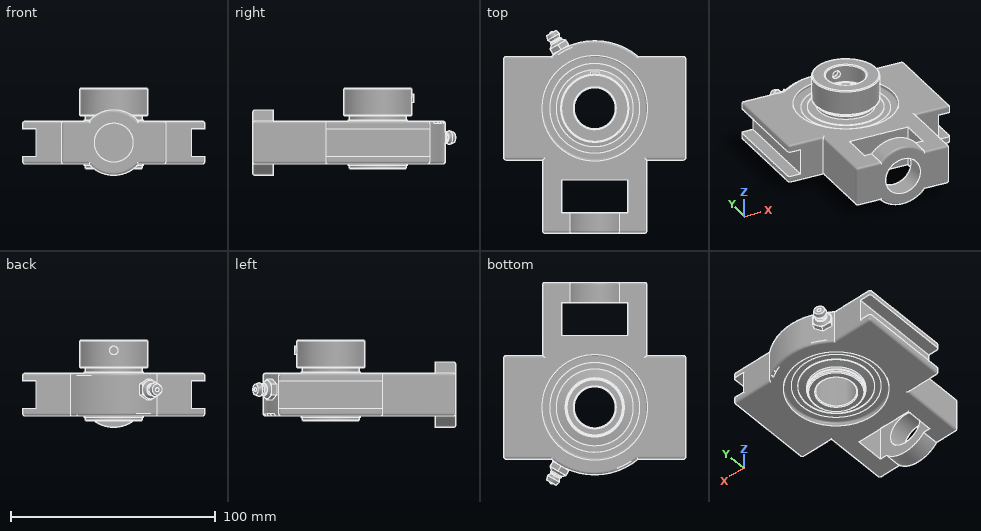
import cadquery as cq
import math


wing_width = 89.0
shank_width = 51.0
wing_depth = 50.8
plate_height = 21.0
half_height = plate_height / 2
shank_end_y = -61.1
dome_radius = 33.0
edge_radius = 1.3
groove_bottom_span = 76.0
groove_height = 13.5

boss_diameter = 32.0
boss_length = 10.1
boss_hole_diameter = 19.0
window_width = boss_diameter
window_length = 15.9

sphere_diameter = 47.0
ring_half_width = 8.5
ring_face_diameter = 42.85
ring_chamfer_height = 0.1
ring_bore = 37.6
recess_diameter = 51.6
recess_fillet = 0.9
recess_floor_z = ring_half_width - ring_chamfer_height
seat_radius = math.sqrt((sphere_diameter / 2) ** 2 - recess_floor_z ** 2)

shaft_bore = 20.0
inner_ring_diameter = 29.0
inner_ring_half_width = 11.1
neck_diameter = 28.0
neck_bottom_z = -12.8
neck_top_z = 16.9
neck_chamfer = 0.5
seal_inner_face_z = 7.4
seal_rim_z = 8.9
seal_lip_z = 9.6
collar_diameter = 33.3
collar_bottom_z = 13.0
collar_height = 13.6
collar_top_z = collar_bottom_z + collar_height
collar_chamfer = 0.5
bore_chamfer = 0.5
screw_diameter = 4.2
screw_z = 21.6
screw_inner_radius = 12.4
screw_outer_radius = 17.7

nipple_angle = 120
nipple_z = 2.5
nipple_shank_diameter = 6.0
nipple_shank_depth = 5.0
hex_across_flats = 9.0
hex_height = 2.9
hex_turn = 30
flange_bottom = 4.4
flange_top = 5.1
nipple_neck_radius = 2.5
nipple_neck_height = 5.7
head_radius = 3.4
head_widest_height = 7.2
tip_radius = 2.7
tip_height = 9.4
ball_diameter = 2.5
ball_height = 8.7


def rounded_block(width, y_min, y_max):
    """Plate-high block, centred on X, with every edge rounded."""
    block = cq.Workplane("XY").box(width, y_max - y_min, plate_height)
    return block.edges().fillet(edge_radius).translate((0, (y_min + y_max) / 2, 0))


def cylinder(diameter, z_min, z_max):
    """Cylinder on the bearing axis."""
    return cq.Workplane("XY").workplane(offset=z_min).circle(diameter / 2).extrude(z_max - z_min)


def revolved(points):
    """Closed (radius, z) outline turned about the bearing axis."""
    return cq.Workplane("XZ").polyline(points).close().revolve(360, (0, 0, 0), (0, 1, 0))


def mount_nipple_part(shape):
    """Move a shape built upward from the XY plane onto the dome, pointing outward."""
    laid_down = shape.rotate((0, 0, 0), (0, 1, 0), 90).translate((dome_radius, 0, nipple_z))
    return laid_down.rotate((0, 0, 0), (0, 0, 1), nipple_angle)


smallest_circle = cq.selectors.RadiusNthSelector(0)
nipple_shank = mount_nipple_part(cylinder(nipple_shank_diameter, -nipple_shank_depth, 0))


def make_housing():
    """T-shaped plate with dome, slot window, screw boss, side grooves and bearing seat."""
    wings = rounded_block(wing_width, -wing_depth / 2, wing_depth / 2)
    shank = rounded_block(shank_width, shank_end_y, 0)
    dome = cylinder(2 * dome_radius, -half_height, half_height).edges().fillet(edge_radius)
    body = wings.union(shank).union(dome)

    window_y = shank_end_y + boss_length + window_length / 2
    window = cq.Workplane("XY").box(window_width, window_length, plate_height)
    body = body.cut(window.translate((0, window_y, 0)))

    boss_end = cq.Workplane("XZ", origin=(0, shank_end_y, 0))
    boss = boss_end.circle(boss_diameter / 2).extrude(-boss_length)
    boss = boss.faces("<Y").edges().fillet(edge_radius)
    boss_hole = boss_end.circle(boss_hole_diameter / 2).extrude(-boss_length)
    body = body.union(boss).cut(boss_hole)

    groove_depth = (wing_width - groove_bottom_span) / 2
    groove = cq.Workplane("XY").box(groove_depth, wing_depth, groove_height)
    for side in (-1, 1):
        body = body.cut(groove.translate((side * (wing_width - groove_depth) / 2, 0, 0)))

    body = body.cut(cq.Workplane("XY").sphere(sphere_diameter / 2))
    recess = cylinder(recess_diameter, recess_floor_z, half_height).faces("<Z").edges().fillet(recess_fillet)
    body = body.cut(recess).cut(recess.mirror("XY"))
    return body.cut(nipple_shank)


def make_outer_ring():
    """Ring with a spherical outer face that fits the seat in the housing."""
    outline = (
        cq.Workplane("XZ")
        .moveTo(ring_bore / 2, -ring_half_width)
        .lineTo(ring_face_diameter / 2, -ring_half_width)
        .lineTo(seat_radius, -recess_floor_z)
        .threePointArc((sphere_diameter / 2, 0), (seat_radius, recess_floor_z))
        .lineTo(ring_face_diameter / 2, ring_half_width)
        .lineTo(ring_bore / 2, ring_half_width)
        .close()
    )
    return outline.revolve(360, (0, 0, 0), (0, 1, 0))


def make_inner_ring():
    """Shaft sleeve whose neck reaches up into the locking collar."""
    ring = cylinder(neck_diameter, neck_bottom_z, neck_top_z).faces("<Z").edges().chamfer(neck_chamfer)
    ring = ring.union(cylinder(inner_ring_diameter, -inner_ring_half_width, inner_ring_half_width))
    ring = ring.cut(cylinder(shaft_bore, neck_bottom_z, neck_top_z))
    return ring.faces("<Z or >Z").edges(smallest_circle).chamfer(bore_chamfer)


def make_seal(side):
    """Slightly coned seal between the rings, on the top (1) or bottom (-1) side."""
    seal = revolved([
        (inner_ring_diameter / 2, seal_inner_face_z),
        (ring_bore / 2, seal_inner_face_z),
        (ring_bore / 2, seal_rim_z),
        (inner_ring_diameter / 2, seal_lip_z),
    ])
    return seal if side > 0 else seal.mirror("XY")


def screw_cylinder(inner_radius):
    """Set-screw cylinder from a radius out to the screw end, along +Y."""
    start = cq.Workplane("XZ", origin=(0, inner_radius, screw_z)).circle(screw_diameter / 2)
    return start.extrude(inner_radius - screw_outer_radius)


def make_collar():
    """Locking collar around the neck, with a radial hole for the set screw."""
    collar = cylinder(collar_diameter, collar_bottom_z, collar_top_z).edges().chamfer(collar_chamfer)
    collar = collar.cut(cylinder(shaft_bore, collar_bottom_z, collar_top_z))
    collar = collar.faces(">Z").edges(smallest_circle).chamfer(bore_chamfer)
    collar = collar.cut(cylinder(neck_diameter, collar_bottom_z, neck_top_z))
    return collar.cut(screw_cylinder(0))


def make_grease_nipple():
    """Hexagon, waisted head with a ball in its tip, and a shank in the housing."""
    hexagon = cq.Workplane("XY").polygon(6, hex_across_flats, circumscribed=True).extrude(hex_height)
    hexagon = hexagon.rotate((0, 0, 0), (0, 0, 1), hex_turn)
    head = revolved([
        (0, hex_height),
        (hex_across_flats / 2, hex_height),
        (nipple_shank_diameter / 2, flange_bottom),
        (nipple_shank_diameter / 2, flange_top),
        (nipple_neck_radius, nipple_neck_height),
        (head_radius, head_widest_height),
        (tip_radius, tip_height),
        (0, tip_height),
    ])
    ball = cq.Workplane("XY").sphere(ball_diameter / 2).translate((0, 0, ball_height))
    return mount_nipple_part(hexagon.union(head).union(ball)).union(nipple_shank)


housing = make_housing()
outer_ring = make_outer_ring()
inner_ring = make_inner_ring()
seals = [make_seal(side) for side in (1, -1)]
collar = make_collar()
set_screw = screw_cylinder(screw_inner_radius)
grease_nipple = make_grease_nipple()

result = cq.Compound.makeCompound([
    housing.val(),
    outer_ring.val(),
    inner_ring.val(),
    *[seal.val() for seal in seals],
    collar.val(),
    set_screw.val(),
    grease_nipple.val(),
])